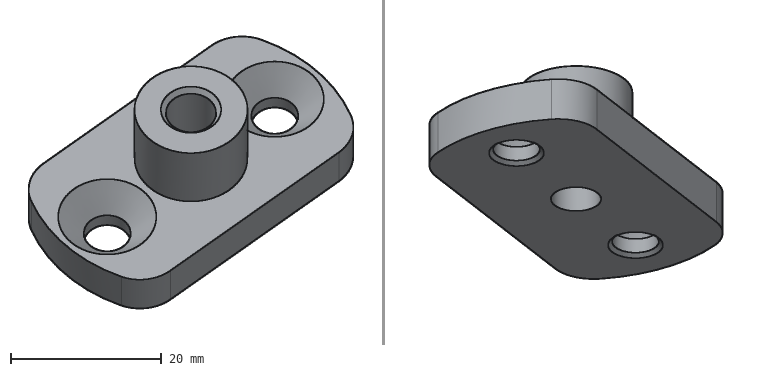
import cadquery as cq

plate_length = 44.85
plate_width = 25.0
plate_thickness = 6.0
corner_radius = 6.0

total_height = 16.0
boss_diameter = 15.0
boss_height = total_height - plate_thickness
bore_diameter = 6.65
bore_mouth_diameter = 8.0
bore_chamfer = (bore_mouth_diameter - bore_diameter) / 2

screw_offset = 15.02
screw_hole_diameter = 6.2
countersink_diameter = 13.0
countersink_angle = 90.0
screw_hole_bottom_chamfer = 0.55


def make_plate():
    """Plate with ends on one common circle, flat sides and tangent corners."""
    disc = cq.Workplane("XY").circle(plate_length / 2).extrude(plate_thickness)
    side_trim = cq.Workplane("XY").box(
        plate_width, plate_length, plate_thickness, centered=(True, True, False)
    )
    trimmed = disc.intersect(side_trim)
    return trimmed.edges("|Z").fillet(corner_radius)


def add_boss(body):
    boss = (
        cq.Workplane("XY")
        .workplane(offset=plate_thickness)
        .circle(boss_diameter / 2)
        .extrude(boss_height)
    )
    return body.union(boss)


def cut_bore(body):
    """Through bore with a chamfered mouth on top of the boss."""
    bored = body.faces(">Z").workplane().hole(bore_diameter)
    bore_rim = cq.selectors.RadiusNthSelector(0)
    return bored.faces(">Z").edges(bore_rim).chamfer(bore_chamfer)


def cut_screw_holes(body):
    return (
        body.copyWorkplane(cq.Workplane("XY", origin=(0, 0, plate_thickness)))
        .pushPoints([(0, -screw_offset), (0, screw_offset)])
        .cskHole(screw_hole_diameter, countersink_diameter, countersink_angle)
    )


def chamfer_screw_hole_bottoms(body):
    """Break the lower rim of both screw holes."""
    rim_box_half_size = screw_hole_diameter
    for y in (-screw_offset, screw_offset):
        around_rim = cq.selectors.BoxSelector(
            (-rim_box_half_size, y - rim_box_half_size, -rim_box_half_size),
            (rim_box_half_size, y + rim_box_half_size, rim_box_half_size),
        )
        body = body.faces("<Z").edges("%CIRCLE").edges(around_rim).chamfer(screw_hole_bottom_chamfer)
    return body


plate = make_plate()
plate_with_boss = add_boss(plate)
bored_part = cut_bore(plate_with_boss)
drilled_part = cut_screw_holes(bored_part)
result = chamfer_screw_hole_bottoms(drilled_part)